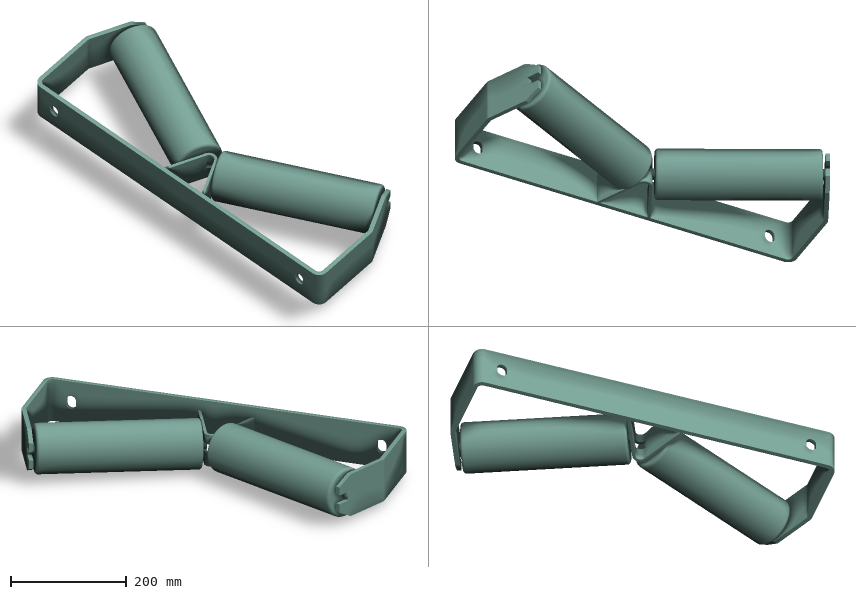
import cadquery as cq
import math

FRAME_LENGTH = 660.0
FRAME_HEIGHT = 80.0
FRAME_THICKNESS = 8.0
CORNER_RADIUS = 16.5
LEAN_START_Y = 134.0
LEAN_BEND_RADIUS = 13.0
LEAN_ANGLE = 25.0
LEAN_LENGTH = 109.0
TIP_CHAMFER_ALONG = 28.5
TIP_CHAMFER_HEIGHT = 16.0

MOUNT_SLOT_X = 282.5
MOUNT_SLOT_WIDTH = 18.0
MOUNT_SLOT_HEIGHT = 25.0

BRACKET_THICKNESS = 5.0
BRACKET_APEX_Y = 99.0
BRACKET_BEND_RADIUS = 14.5
BRACKET_HEIGHT = 60.0

ROLLER_DIAMETER = 89.0
ROLLER_LENGTH = 290.0
ROLLER_FILLET = 5.0
ROLLER_OUTER_X = 284.0
ROLLER_OUTER_Y = 206.0
ROLLER_DIP_ANGLE = 1.2
SHAFT_DIAMETER = 20.0
SHAFT_FLATS = 16.5

SIDES = (-1, 1)
lean = math.radians(LEAN_ANGLE)
dip = math.radians(ROLLER_DIP_ANGLE)
half_length = FRAME_LENGTH / 2
mid_height = FRAME_HEIGHT / 2

arm_bend = (-half_length + LEAN_BEND_RADIUS, LEAN_START_Y)
bracket_bend = (0, BRACKET_APEX_Y - BRACKET_BEND_RADIUS)
bracket_inner_radius = BRACKET_BEND_RADIUS - BRACKET_THICKNESS


def along_axis(point):
    """Distance of a point past the outer face of the left drum, measured along its axis from above."""
    return (point[0] + ROLLER_OUTER_X) * math.cos(lean) - (point[1] - ROLLER_OUTER_Y) * math.sin(lean)


outer_stub = LEAN_BEND_RADIUS - along_axis(arm_bend)
inner_stub = along_axis(bracket_bend) - bracket_inner_radius - ROLLER_LENGTH


def mirrored(body):
    return body.mirror("YZ")


def roller_plane():
    """Plane on the outer face of the left drum; its normal runs down the axis to the inner end."""
    axis = cq.Vector(
        math.cos(dip) * math.cos(lean),
        -math.cos(dip) * math.sin(lean),
        -math.sin(dip),
    )
    sideways = cq.Vector(-math.sin(lean), -math.cos(lean), 0)
    return cq.Plane(origin=(-ROLLER_OUTER_X, ROLLER_OUTER_Y, mid_height), xDir=sideways, normal=axis)


def shaft(extra=0.0):
    """Left shaft with flats above and below, optionally lengthened at both ends."""
    length = outer_stub + ROLLER_LENGTH + inner_stub + 2 * extra
    start = cq.Workplane(roller_plane()).workplane(offset=-outer_stub - extra)
    flats = start.rect(SHAFT_DIAMETER, SHAFT_FLATS).extrude(length)
    return start.circle(SHAFT_DIAMETER / 2).extrude(length).intersect(flats)


def left_roller():
    drum = (
        cq.Workplane(roller_plane())
        .circle(ROLLER_DIAMETER / 2)
        .extrude(ROLLER_LENGTH)
        .edges("%CIRCLE")
        .fillet(ROLLER_FILLET)
    )
    return drum.union(shaft())


def arm_profile():
    """Left half of the bent strip, from the middle of the back to the arm tip."""
    inner_radius = CORNER_RADIUS - FRAME_THICKNESS
    inner_lean_radius = LEAN_BEND_RADIUS - FRAME_THICKNESS
    corner = (-half_length + CORNER_RADIUS, CORNER_RADIUS)

    def on_arc(center, radius, angle):
        return (center[0] - radius * math.cos(angle), center[1] + radius * math.sin(angle))

    def leaned(point):
        return (point[0] + LEAN_LENGTH * math.sin(lean), point[1] + LEAN_LENGTH * math.cos(lean))

    outer_lean = on_arc(arm_bend, LEAN_BEND_RADIUS, lean)
    inner_lean = on_arc(arm_bend, inner_lean_radius, lean)
    return (
        cq.Workplane("XY")
        .moveTo(0, 0)
        .lineTo(corner[0], 0)
        .threePointArc(on_arc(corner, CORNER_RADIUS, -math.pi / 4), (-half_length, CORNER_RADIUS))
        .lineTo(-half_length, LEAN_START_Y)
        .threePointArc(on_arc(arm_bend, LEAN_BEND_RADIUS, lean / 2), outer_lean)
        .lineTo(*leaned(outer_lean))
        .lineTo(*leaned(inner_lean))
        .lineTo(*inner_lean)
        .threePointArc(on_arc(arm_bend, inner_lean_radius, lean / 2), (-half_length + FRAME_THICKNESS, LEAN_START_Y))
        .lineTo(-half_length + FRAME_THICKNESS, CORNER_RADIUS)
        .threePointArc(on_arc(corner, inner_radius, -math.pi / 4), (corner[0], FRAME_THICKNESS))
        .lineTo(0, FRAME_THICKNESS)
        .close()
    )


def shaft_slot():
    """Slot for the left shaft, open at the arm tip."""
    depth = 2 * outer_stub
    opening = (
        cq.Workplane(roller_plane())
        .workplane(offset=-depth)
        .center(-LEAN_LENGTH / 2, 0)
        .rect(LEAN_LENGTH, SHAFT_FLATS)
        .extrude(depth)
    )
    return opening.union(shaft(extra=outer_stub))


def tip_chamfers():
    """Wedges that take the top and bottom corners off the left arm tip."""
    tip = cq.Plane(
        origin=(
            arm_bend[0] - LEAN_BEND_RADIUS * math.cos(lean) + LEAN_LENGTH * math.sin(lean),
            arm_bend[1] + LEAN_BEND_RADIUS * math.sin(lean) + LEAN_LENGTH * math.cos(lean),
            mid_height,
        ),
        xDir=(-math.sin(lean), -math.cos(lean), 0),
        normal=(math.cos(lean), -math.sin(lean), 0),
    )
    wedges = cq.Workplane(tip)
    for side in SIDES:
        edge = side * mid_height
        wedges = wedges.polyline(
            [(0, edge), (TIP_CHAMFER_ALONG, edge), (0, edge - side * TIP_CHAMFER_HEIGHT)]
        ).close()
    return wedges.extrude(FRAME_THICKNESS)


def make_frame():
    half = arm_profile().extrude(FRAME_HEIGHT).cut(tip_chamfers()).cut(shaft_slot())
    mount_slots = (
        cq.Workplane("XZ")
        .pushPoints([(side * MOUNT_SLOT_X, mid_height) for side in SIDES])
        .slot2D(MOUNT_SLOT_HEIGHT, MOUNT_SLOT_WIDTH, 90)
        .extrude(-FRAME_THICKNESS)
    )
    return half.union(mirrored(half)).cut(mount_slots)


def bracket_slot():
    """Slot for the left shaft, running on through the bend of the bracket."""
    opening = (
        cq.Workplane(roller_plane())
        .workplane(offset=ROLLER_LENGTH)
        .center(-BRACKET_APEX_Y / 2, 0)
        .rect(BRACKET_APEX_Y, SHAFT_FLATS)
        .extrude(inner_stub + BRACKET_BEND_RADIUS)
    )
    return opening.union(shaft(extra=inner_stub))


def make_bracket():

    arc_middle = (lean + math.pi / 2) / 2

    def on_bend(radius, angle):
        return (-radius * math.cos(angle), bracket_bend[1] + radius * math.sin(angle))

    def foot_x(radius):
        x, y = on_bend(radius, lean)
        return x - (y - FRAME_THICKNESS) * math.tan(lean)

    half = (
        cq.Workplane("XY")
        .moveTo(0, BRACKET_APEX_Y)
        .threePointArc(on_bend(BRACKET_BEND_RADIUS, arc_middle), on_bend(BRACKET_BEND_RADIUS, lean))
        .lineTo(foot_x(BRACKET_BEND_RADIUS), FRAME_THICKNESS)
        .lineTo(foot_x(bracket_inner_radius), FRAME_THICKNESS)
        .lineTo(*on_bend(bracket_inner_radius, lean))
        .threePointArc(on_bend(bracket_inner_radius, arc_middle), (0, bracket_bend[1] + bracket_inner_radius))
        .close()
        .extrude(BRACKET_HEIGHT)
        .cut(bracket_slot())
    )
    return half.union(mirrored(half))


def make_rollers():
    roller = left_roller()
    return [roller, mirrored(roller)]


frame = make_frame()
bracket = make_bracket()
rollers = make_rollers()
result = cq.Compound.makeCompound([frame.val(), bracket.val(), *[roller.val() for roller in rollers]])